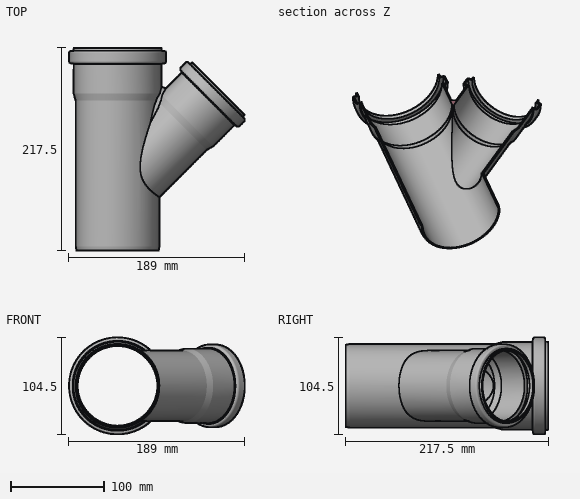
import cadquery as cq
import math

RUN = dict(
    pipe_d=90.0, bore_d=85.3, socket_d=94.6, socket_bore_d=90.7, collar_d=104.5, groove_d=100.3, lip_d=95.0,
    start=0, taper_start=161, taper_end=168.8, collar_start=200.8, collar_end=214.2, end=217.5,
)
BRANCH = dict(
    pipe_d=76.0, bore_d=71.0, socket_d=80.0, socket_bore_d=76.3, collar_d=89.2, groove_d=85.5, lip_d=80.3,
    start=0, taper_start=97.5, taper_end=105.0, collar_start=138.0, collar_end=149.9, end=153.0,
)
BRANCH_ANGLE = 45
JUNCTION_Y = 66.0
COLLAR_TOP_ROUND = 2.0
COLLAR_UNDERSIDE_ROUND = 2.6
SPIGOT_CHAMFER_LENGTH = 4.4
SPIGOT_CHAMFER_DEPTH = 0.9
COLLAR_FLARE_WIDTH = 1.0
COLLAR_FLARE_LENGTH = 0.7
LIP_CHAMFER_LENGTH = 1.7
LIP_CHAMFER_DEPTH = 0.5
GROOVE_WALL = 2.2

WEB_CENTER = (13.5, 79.4)
WEB_LEAN = 20.5
WEB_LENGTH = 102.2
WEB_HALF_HEIGHT = 35.2
WEB_THICKNESS = 4.8


def revolve_about_y(points):
    return cq.Workplane("XY").polyline(points).close().revolve(360, (0, 0, 0), (0, 1, 0))


def pipe_body(p):
    """Solid outer shape of a pipe with a tapered socket, seal collar and end lip."""
    body = revolve_about_y([
        (0, p["start"]),
        (p["pipe_d"] / 2, p["start"]),
        (p["pipe_d"] / 2, p["taper_start"]),
        (p["socket_d"] / 2, p["taper_end"]),
        (p["socket_d"] / 2, p["collar_start"] - COLLAR_FLARE_LENGTH),
        (p["socket_d"] / 2 + COLLAR_FLARE_WIDTH, p["collar_start"]),
        (p["lip_d"] / 2, p["collar_end"]),
        (p["lip_d"] / 2, p["end"] - LIP_CHAMFER_LENGTH),
        (p["lip_d"] / 2 - LIP_CHAMFER_DEPTH, p["end"]),
        (0, p["end"]),
    ])
    collar_blank = revolve_about_y([
        (0, p["collar_start"]),
        (p["collar_d"] / 2, p["collar_start"]),
        (p["collar_d"] / 2, p["collar_end"]),
        (0, p["collar_end"]),
    ])
    collar = collar_blank.edges(">Y").fillet(COLLAR_TOP_ROUND).edges("<Y").fillet(COLLAR_UNDERSIDE_ROUND)
    return body.union(collar)


def pipe_cavity(p):
    """Bore, wider socket bore and seal groove inside the collar."""
    groove_start = p["collar_start"] + GROOVE_WALL
    groove_end = p["collar_end"] - GROOVE_WALL
    return revolve_about_y([
        (0, p["start"]),
        (p["bore_d"] / 2, p["start"]),
        (p["bore_d"] / 2, p["taper_start"]),
        (p["socket_bore_d"] / 2, p["taper_end"]),
        (p["socket_bore_d"] / 2, groove_start),
        (p["groove_d"] / 2, groove_start),
        (p["groove_d"] / 2, groove_end),
        (p["socket_bore_d"] / 2, groove_end),
        (p["socket_bore_d"] / 2, p["end"]),
        (0, p["end"]),
    ])


def place_branch(shape):
    return shape.rotate((0, 0, 0), (0, 0, 1), -BRANCH_ANGLE).translate((0, JUNCTION_Y, 0))


def spigot_chamfer():
    """Ring removed to give the plain end its slight lead-in taper."""
    outer = RUN["pipe_d"] / 2
    return revolve_about_y([
        (outer - SPIGOT_CHAMFER_DEPTH, RUN["start"]),
        (outer, RUN["start"] + SPIGOT_CHAMFER_LENGTH),
        (outer + SPIGOT_CHAMFER_DEPTH, RUN["start"]),
    ])


def crotch_web():
    """Half-ellipse plate standing along the acute side of the junction."""
    lean = math.radians(WEB_LEAN)
    plane = cq.Plane(
        origin=(*WEB_CENTER, 0),
        xDir=(math.sin(lean), math.cos(lean), 0),
        normal=(math.cos(lean), -math.sin(lean), 0),
    )
    plate = (
        cq.Workplane(plane)
        .workplane(offset=-WEB_THICKNESS / 2)
        .ellipse(WEB_LENGTH, WEB_HALF_HEIGHT)
        .extrude(WEB_THICKNESS)
    )
    acute_half = cq.Workplane(plane).center(WEB_LENGTH / 2, 0).box(
        WEB_LENGTH, 2 * WEB_HALF_HEIGHT, WEB_THICKNESS
    )
    return plate.intersect(acute_half)


result = pipe_body(RUN).union(place_branch(pipe_body(BRANCH))).union(crotch_web())
result = result.cut(pipe_cavity(RUN)).cut(place_branch(pipe_cavity(BRANCH)))
result = result.cut(spigot_chamfer())